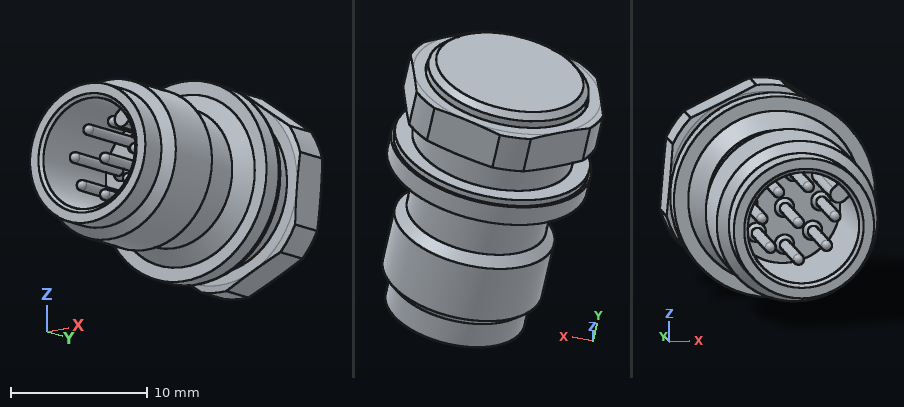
import cadquery as cq
import math

LENGTH = 20.5

COLLAR_DIA = 10.45
BARREL_DIA = 12.0
FLANGE_DIA = 15.0
FLANGE_STEP_DIA = 14.6
COLLAR_END = 2.0
GRIP_START = 2.75
GRIP_END = 7.25
NECK_START = 8.0
NECK_END = 10.85
FLANGE_START = 12.0
FLANGE_STEP_START = 13.5
FLANGE_END = 14.0
CONE_DIA = 12.87
REAR_CHAMFER = 0.5

SOCKET_DIA = 8.3
SOCKET_DEPTH = 8.0
MOUTH_DIA = 8.9
MOUTH_DEPTH = 0.2
KEY_ANGLE = 41.0
KEY_WIDTH = 1.25
KEY_CENTRE_RADIUS = 3.57
KEY_START = 0.53
WALL_OVERLAP = 0.2

PIN_DIA = 0.8
PIN_START = 1.8
PIN_CIRCLE_RADIUS = 2.75
PIN_ANGLES = (8.0, 74.5, 122.5, 172.0, 220.5, 270.0, 319.5)
PIN_BASE_DIA = 1.44
PIN_BASE_HEIGHT = (PIN_BASE_DIA - PIN_DIA) / 2

GROOVE_FLOOR_RADIUS = 5.6
GROOVE_CUTTER_RADIUS = 1.66

NUT_START = 16.5
NUT_END = 19.5
NUT_ACROSS_FLATS = 14.0
NUT_CORNER_DIA = 15.0
NUT_FACE_DIA = NUT_ACROSS_FLATS
NUT_CHAMFER_HEIGHT = 0.1
NUT_BORE_DIA = 12.18
NUT_TURN = -4.9


def revolve_profile(points):
    """Turn a closed (radius, y) outline about the Y axis."""
    return cq.Workplane("XY").polyline(points).close().revolve(360, (0, 0, 0), (0, 1, 0))


def section_at(y):
    """Plane across the axis at y: local x is +X, local y is +Z, extrusion goes to -Y."""
    return cq.Workplane("XZ", origin=(0, y, 0))


def polar(radius, angle):
    turn = math.radians(angle)
    return radius * math.cos(turn), radius * math.sin(turn)


def make_shell():
    collar = COLLAR_DIA / 2
    barrel = BARREL_DIA / 2
    flange = FLANGE_DIA / 2
    step = FLANGE_STEP_DIA / 2
    socket = SOCKET_DIA / 2
    return revolve_profile([
        (0, SOCKET_DEPTH),
        (socket, SOCKET_DEPTH),
        (socket, MOUTH_DEPTH),
        (MOUTH_DIA / 2, 0),
        (collar, 0),
        (collar, COLLAR_END),
        (barrel, GRIP_START),
        (barrel, GRIP_END),
        (collar, NECK_START),
        (collar, NECK_END),
        (CONE_DIA / 2, FLANGE_START),
        (flange, FLANGE_START),
        (flange, FLANGE_STEP_START),
        (step, FLANGE_STEP_START),
        (step, FLANGE_END),
        (barrel, FLANGE_END),
        (barrel, LENGTH - REAR_CHAMFER),
        (barrel - REAR_CHAMFER, LENGTH),
        (0, LENGTH),
    ])


def make_pin(x, z):
    """Round-nosed pin standing on a small cone at the socket floor."""
    radius = PIN_DIA / 2
    nose = radius * math.sqrt(0.5)
    pin = (
        cq.Workplane("XY")
        .moveTo(0, PIN_START)
        .threePointArc((nose, PIN_START + radius - nose), (radius, PIN_START + radius))
        .lineTo(radius, SOCKET_DEPTH - PIN_BASE_HEIGHT)
        .lineTo(PIN_BASE_DIA / 2, SOCKET_DEPTH)
        .lineTo(0, SOCKET_DEPTH)
        .close()
        .revolve(360, (0, 0, 0), (0, 1, 0))
    )
    return pin.translate((x, 0, z))


def make_key():
    """Rib with a rounded inner edge, along the socket wall."""
    outer = SOCKET_DIA / 2 + WALL_OVERLAP
    half = KEY_WIDTH / 2
    key = (
        section_at(SOCKET_DEPTH)
        .moveTo(outer, -half)
        .lineTo(KEY_CENTRE_RADIUS, -half)
        .threePointArc((KEY_CENTRE_RADIUS - half, 0), (KEY_CENTRE_RADIUS, half))
        .lineTo(outer, half)
        .close()
        .extrude(SOCKET_DEPTH - KEY_START)
    )
    return key.rotate((0, 0, 0), (0, 1, 0), -KEY_ANGLE)


def make_groove_cutter():
    centre = polar(GROOVE_FLOOR_RADIUS + GROOVE_CUTTER_RADIUS, KEY_ANGLE)
    return section_at(LENGTH).center(*centre).circle(GROOVE_CUTTER_RADIUS).extrude(LENGTH - FLANGE_END)


def make_housing():
    housing = make_shell().cut(make_groove_cutter()).union(make_key())
    pin_places = [(0, 0)] + [polar(PIN_CIRCLE_RADIUS, angle) for angle in PIN_ANGLES]
    for x, z in pin_places:
        housing = housing.union(make_pin(x, z))
    return housing


def make_nut():
    """Hexagon with turned corners, both faces chamfered, bored to clear the thread."""
    corner_to_corner = NUT_ACROSS_FLATS / math.cos(math.pi / 6)
    hexagon = (
        section_at(NUT_END)
        .polygon(6, corner_to_corner)
        .extrude(NUT_END - NUT_START)
        .rotate((0, 0, 0), (0, 1, 0), -(90 + NUT_TURN))
    )
    bore = NUT_BORE_DIA / 2
    face = NUT_FACE_DIA / 2
    corner = NUT_CORNER_DIA / 2
    turned_blank = revolve_profile([
        (bore, NUT_START),
        (face, NUT_START),
        (corner, NUT_START + NUT_CHAMFER_HEIGHT),
        (corner, NUT_END - NUT_CHAMFER_HEIGHT),
        (face, NUT_END),
        (bore, NUT_END),
    ])
    return hexagon.intersect(turned_blank)


housing = make_housing()
nut = make_nut()

result = cq.Compound.makeCompound([housing.val(), nut.val()])